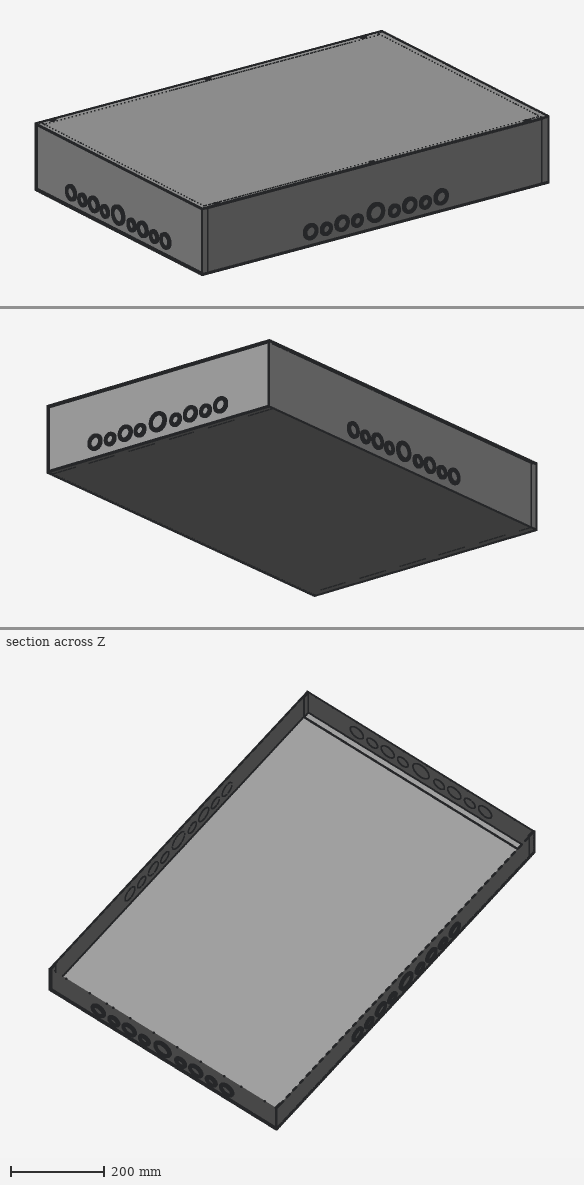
import cadquery as cq

box_width = 610.0
box_length = 915.0
total_height = 154.0
sheet = 2.1

wall_height = total_height - sheet
half_width = box_width / 2
half_length = box_length / 2
half_inner_width = half_width - sheet

cap_flange_width = 17.0
cap_lip_width = 14.0
side_lip_width = 13.0

disc_height = 3.2
groove_depth = 1.4
wrapper_row_bottom = 17.0
cap_row_bottom = wrapper_row_bottom + sheet
large_disc = (43.0, 31.0)
medium_disc = (35.0, 24.0)
small_disc = (29.0, 17.5)
half_row = [(49.0, small_disc), (89.0, medium_disc), (131.0, small_disc), (172.0, medium_disc)]
mirrored_row = [(side * place, disc) for place, disc in half_row for side in (-1, 1)]
full_row = [(0, large_disc), *mirrored_row]

keyhole_diameter = 9.0
keyhole_slot_width = 4.0
keyhole_slot_reach = 7.0
keyhole_inset = 5.5
keyhole_spacing = 410.0
keyhole_shift = -6.0


def block(x_range, y_range, z_range):
    """Box between two limits along each axis."""
    size = [high - low for low, high in (x_range, y_range, z_range)]
    corner = (x_range[0], y_range[0], z_range[0])
    return cq.Workplane("XY").box(*size, centered=False).translate(corner)


def turned(shape, angle):
    """Shape turned about the vertical axis of the enclosure."""
    return shape.rotate((0, 0, 0), (0, 0, 1), angle)


def knockout_disc(base, disc_diameter, island_diameter):
    """Raised disc with a shallow ring groove in its face, around an island at full height."""
    groove_diameter = (disc_diameter + island_diameter) / 2
    groove = (
        base.workplane(offset=disc_height - groove_depth)
        .circle(groove_diameter / 2)
        .circle(island_diameter / 2)
        .extrude(groove_depth)
    )
    return base.circle(disc_diameter / 2).extrude(disc_height).cut(groove)


def add_knockouts(body, wall_distance, row_bottom):
    """Body with a row of discs on its -Y wall; the lowest points of all discs are level."""
    wall = cq.Workplane("XZ", origin=(0, -wall_distance, 0))
    for place, (disc_diameter, island_diameter) in full_row:
        base = wall.center(place, row_bottom + disc_diameter / 2)
        body = body.union(knockout_disc(base, disc_diameter, island_diameter))
    return body


def make_wrapper():
    """Bottom and long side walls of one sheet, open at the ends, with inward lips along the top."""
    lip_half_length = half_length - cap_lip_width
    lip_bottom = wall_height - sheet
    full_length = (-half_length, half_length)

    outside = block((-half_width, half_width), full_length, (0, wall_height))
    inside = block((-half_inner_width, half_inner_width), full_length, (sheet, wall_height))
    wrapper = outside.cut(inside)

    lip = block(
        (-half_width, -half_width + side_lip_width),
        (-lip_half_length, lip_half_length),
        (lip_bottom, wall_height),
    )
    for angle in (0, 180):
        wrapper = wrapper.union(turned(lip, angle))

    for angle in (90, -90):
        wrapper = turned(add_knockouts(turned(wrapper, angle), half_width, wrapper_row_bottom), -angle)
    return wrapper


def make_end_cap():
    """Shallow pan closing the -Y end: a plate with side and bottom flanges and a narrower top lip."""
    flange_end = -half_length + cap_flange_width
    lip_end = -half_length + cap_lip_width
    plate_inside = -half_length + sheet
    lip_bottom = wall_height - sheet
    full_width = (-half_inner_width, half_inner_width)
    hollow_width = (-half_inner_width + sheet, half_inner_width - sheet)

    outside = block(full_width, (-half_length, flange_end), (sheet, wall_height))
    hollow = block(hollow_width, (plate_inside, flange_end), (2 * sheet, lip_bottom))
    beyond_lip = block(full_width, (lip_end, flange_end), (lip_bottom, wall_height))
    pan = outside.cut(hollow).cut(beyond_lip)
    return add_knockouts(pan, half_length, cap_row_bottom)


def make_cover():
    """Flat lid with three keyholes along each long edge, their slots pointing to +Y."""
    cover = block((-half_width, half_width), (-half_length, half_length), (wall_height, total_height))
    x_place = half_width - keyhole_inset
    rows = [keyhole_shift + step * keyhole_spacing for step in (-1, 0, 1)]
    heads = [(x, y) for x in (-x_place, x_place) for y in rows]
    slots = [(x, y + keyhole_slot_reach / 2) for x, y in heads]

    underside = cq.Workplane("XY").workplane(offset=wall_height)
    head_holes = underside.pushPoints(heads).circle(keyhole_diameter / 2).extrude(sheet)
    slot_holes = underside.pushPoints(slots).rect(keyhole_slot_width, keyhole_slot_reach).extrude(sheet)
    return cover.cut(head_holes).cut(slot_holes)


wrapper = make_wrapper()
end_cap = make_end_cap()
end_caps = [turned(end_cap, angle) for angle in (0, 180)]
cover = make_cover()

result = cq.Compound.makeCompound([wrapper.val(), *[cap.val() for cap in end_caps], cover.val()])